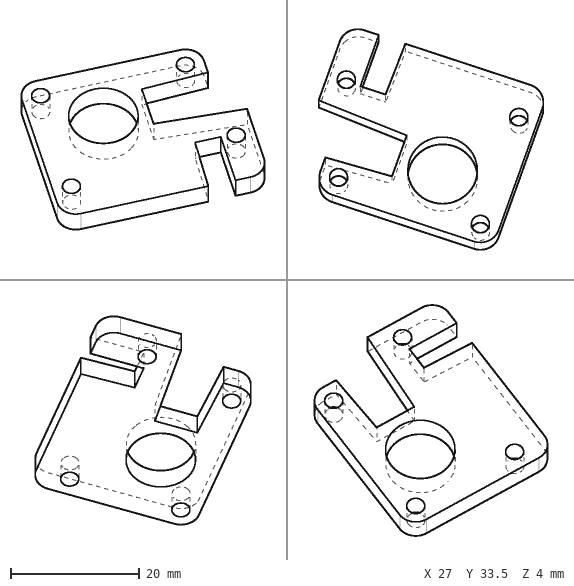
import cadquery as cq

width = 27.0
length = 33.47
thickness = 4.0
left_arm_length = 29.45
corner_radius = 3.0

notch_floor_y = 18.6
notch_floor_left = 5.9
notch_floor_right = 12.92
notch_mouth_left = 5.42
notch_mouth_right = 13.9

slot_end_x = 18.17
slot_top_y = 28.05
slot_end_bottom_y = 23.9
slot_mouth_bottom_y = 23.65

bore_diameter = 10.85
bore_center = (9.37, 11.45)
screw_diameter = 2.8
right_screw_x = 21.45
back_screw_center = (18.48, 30.45)
screw_centers = [
    (corner_radius, corner_radius),
    (right_screw_x, corner_radius),
    (corner_radius, left_arm_length - corner_radius),
    back_screw_center,
]


def make_plate():
    """Plate outline with the notch and slot, rounded at its four outer corners."""
    outline = [
        (0, 0),
        (width, 0),
        (width, slot_mouth_bottom_y),
        (slot_end_x, slot_end_bottom_y),
        (slot_end_x, slot_top_y),
        (width, slot_top_y),
        (width, length),
        (notch_mouth_right, length),
        (notch_floor_right, notch_floor_y),
        (notch_floor_left, notch_floor_y),
        (notch_mouth_left, left_arm_length),
        (0, left_arm_length),
    ]
    plate = cq.Workplane("XY").polyline(outline).close().extrude(thickness)
    outer_corners = [(0, 0), (width, 0), (width, length), (0, left_arm_length)]
    for x, y in outer_corners:
        edge_center = (x, y, thickness / 2)
        plate = plate.edges(cq.selectors.NearestToPointSelector(edge_center)).fillet(corner_radius)
    return plate


def make_through_holes(centers, diameter):
    """Cylinders spanning the plate thickness."""
    return cq.Workplane("XY").pushPoints(centers).circle(diameter / 2).extrude(thickness)


result = (
    make_plate()
    .cut(make_through_holes([bore_center], bore_diameter))
    .cut(make_through_holes(screw_centers, screw_diameter))
)